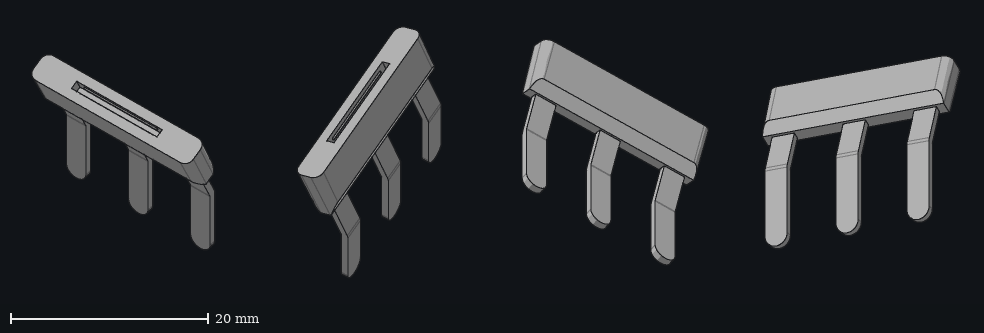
import cadquery as cq
import math

lean_angle = 22.0
bend_height = 8.57
bend_to_top = 10.42

leg_count = 3
leg_pitch = 8.0
leg_width = 2.51
leg_thickness = 0.8
bend_inner_radius = 0.2
leg_embed = 0.41

head_length = 20.6
head_depth = 3.2
head_height = 6.0
corner_radius = 0.99
draft_angle = 0.9
bevel_height = 1.34
bottom_depth = 1.38

slot_length = 11.0
slot_width = 0.93
slot_depth = 1.4
ridge_length = 9.48
ridge_radius = 0.15
ridge_axis_depth = 0.65


def make_leg(x_center):
    """Bent strip with a fully rounded lower end."""
    half = leg_thickness / 2
    lean = math.radians(lean_angle)
    bend_offset = half * math.tan(lean / 2)
    reach = bend_to_top - head_height + leg_embed
    end_y = -reach * math.sin(lean)
    end_z = bend_height + reach * math.cos(lean)
    normal_y = half * math.cos(lean)
    normal_z = half * math.sin(lean)
    strip = (
        cq.Workplane("YZ")
        .polyline([
            (-half, 0),
            (half, 0),
            (half, bend_height + bend_offset),
            (end_y + normal_y, end_z + normal_z),
            (end_y - normal_y, end_z - normal_z),
            (-half, bend_height - bend_offset),
        ])
        .close()
        .extrude(leg_width / 2, both=True)
    )
    outer_bend = cq.selectors.NearestToPointSelector((0, half, bend_height + bend_offset))
    inner_bend = cq.selectors.NearestToPointSelector((0, -half, bend_height - bend_offset))
    strip = strip.edges(outer_bend).fillet(bend_inner_radius + leg_thickness)
    strip = strip.edges(inner_bend).fillet(bend_inner_radius)

    tip_radius = leg_width / 2
    tip_block = cq.Workplane("XY").box(
        leg_width, leg_thickness, tip_radius, centered=(True, True, False)
    )
    tip_round = (
        cq.Workplane("XZ")
        .center(0, tip_radius)
        .circle(tip_radius)
        .extrude(half, both=True)
    )
    return strip.cut(tip_block.cut(tip_round)).translate((x_center, 0, 0))


def make_head_body():
    """Upright drafted block, top face at Z = 0, with both bottom edges beveled."""
    body = (
        cq.Workplane("XY")
        .sketch()
        .rect(head_length, head_depth)
        .vertices()
        .fillet(corner_radius)
        .finalize()
        .extrude(-head_height, taper=draft_angle)
    )
    bevel_top_z = bevel_height - head_height
    draft_inset = -bevel_top_z * math.tan(math.radians(draft_angle))
    bevel_top_y = head_depth / 2 - draft_inset
    envelope = (
        cq.Workplane("YZ")
        .polyline([
            (-head_depth / 2, 0),
            (head_depth / 2, 0),
            (bevel_top_y, bevel_top_z),
            (bottom_depth / 2, -head_height),
            (-bottom_depth / 2, -head_height),
            (-bevel_top_y, bevel_top_z),
        ])
        .close()
        .extrude(head_length, both=True)
    )
    return body.intersect(envelope)


def make_ridge():
    """Half-round ridge with ball ends, centered on the -Y wall of the slot."""
    wall_y = -slot_width / 2
    straight_half = ridge_length / 2 - ridge_radius
    arc_mid = ridge_radius * math.sqrt(0.5)
    return (
        cq.Workplane("XY")
        .moveTo(-ridge_length / 2, 0)
        .threePointArc((-straight_half - arc_mid, arc_mid), (-straight_half, ridge_radius))
        .lineTo(straight_half, ridge_radius)
        .threePointArc((straight_half + arc_mid, arc_mid), (ridge_length / 2, 0))
        .close()
        .revolve(360, (0, 0), (1, 0))
        .translate((0, wall_y, -ridge_axis_depth))
    )


def make_head():
    slot = cq.Workplane("XY").box(slot_length, slot_width, 2 * slot_depth)
    ridge = make_ridge()
    head = make_head_body().cut(slot).union(ridge.mirror("XZ")).union(ridge)
    return (
        head.translate((0, 0, bend_to_top))
        .rotate((0, 0, 0), (1, 0, 0), lean_angle)
        .translate((0, 0, bend_height))
    )


result = make_head()
for index in range(leg_count):
    leg_x = (index - (leg_count - 1) / 2) * leg_pitch
    result = result.union(make_leg(leg_x))